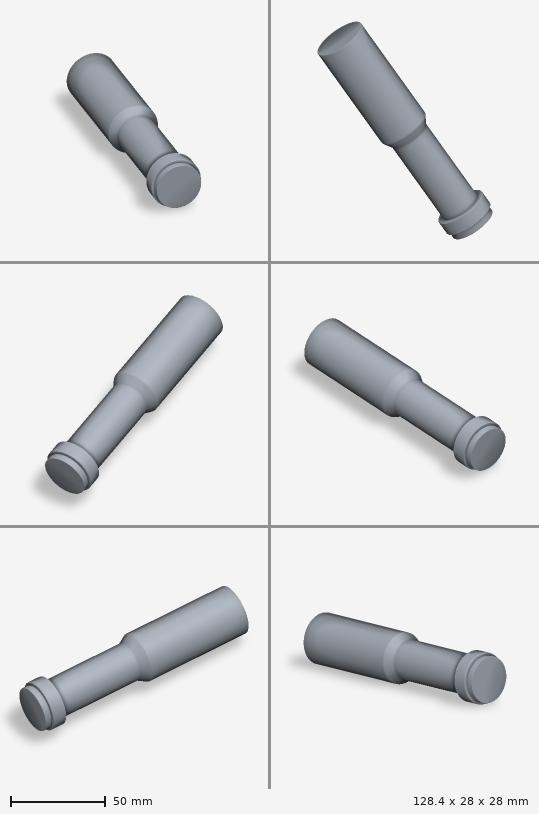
import cadquery as cq
import math

length = 128.4
handle_radius = 14.0
shank_radius = 10.9
end_disc_radius = 12.6
groove_radius = 12.1

taper_start = 61.5
taper_angle = math.radians(30)
collar_start = 116.2
collar_end = 124.3
end_disc_start = 124.9

taper_blend = 1.5
collar_chamfer = 0.3
end_chamfer = 0.1
handle_chamfer = 0.1

taper_end = taper_start + (handle_radius - shank_radius) / math.tan(taper_angle)


def cylinder(start, end, radius):
    """Solid cylinder along X between two positions."""
    return cq.Workplane("YZ", origin=(start, 0, 0)).circle(radius).extrude(end - start)


body_profile = [
    (0, 0),
    (0, handle_radius - handle_chamfer),
    (handle_chamfer, handle_radius),
    (taper_start, handle_radius),
    (taper_end, shank_radius),
    (collar_start, shank_radius),
    (collar_start, 0),
]
body = cq.Workplane("XY").polyline(body_profile).close().revolve(360, (0, 0, 0), (1, 0, 0))

for position in (taper_start, taper_end):
    blend_edge = cq.selectors.BoxSelector(
        (position - taper_blend, -length, -length),
        (position + taper_blend, length, length),
        boundingbox=True,
    )
    body = body.edges(blend_edge).fillet(taper_blend)

collar = cylinder(collar_start, collar_end, handle_radius).edges().chamfer(collar_chamfer)
groove = cylinder(collar_end, end_disc_start, groove_radius)
end_disc = cylinder(end_disc_start, length, end_disc_radius).faces(">X").edges().chamfer(end_chamfer)

result = body.union(collar).union(groove).union(end_disc)